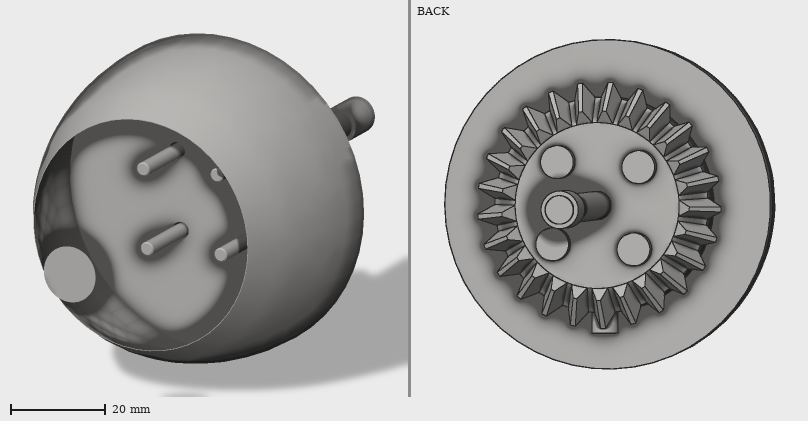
import cadquery as cq
import math

LEAN_SIDEWAYS = 8.7
LEAN_DOWN = 1.0
SPIN = -3.5

RIM_RADIUS = 70.0 / 2
MOUTH_RADIUS = 25.5
BOWL_DEPTH = 36.1
RIM_BAND = 1.0
WALL = 0.4
MOUTH_EDGE = 0.1

HUB_RADIUS = 45.7 / 2
TOOTH_COUNT = 25
TOOTH_PHASE = 5.3
ROOT_HEIGHT = 8.4
TIP_RADIUS = 26.2
TIP_HEIGHT = 11.6
CONE_APEX_HEIGHT = 35.3
INNER_SCALE = 0.77
ROOT_WIDTH = 4.7
LAND_WIDTH = 1.1
TOOTH_EMBED = 0.4
STUD_DIAMETER = 5.5
STUD_REACH = 27.3

SHAFT_DIAMETER = 6.0
HEAD_DIAMETER = 8.0
HEAD_START = 58.1
HEAD_END = 67.2
SHAFT_END = 68.0

SCREW_SPACING = 17.5
SCREW_HEAD_DIAMETER = 7.0
SCREW_HEAD_HEIGHT = 2.8
SCREW_DIAMETER = 3.0
SCREW_TIP_CHAMFER = 0.3
SCREW_REACH = 16.7
SCREW_HOLE_DIAMETER = 3.7

DISC_DIAMETER = 12.3
DISC_DISTANCE = 69.9
DISC_THICKNESS = 0.1


def place(body):
    """Turn a body from the local axis frame to its final position."""
    upright = body.rotate((0, 0, 0), (1, 0, 0), -90 - LEAN_DOWN)
    return upright.rotate((0, 0, 0), (0, 0, 1), -LEAN_SIDEWAYS)


def cylinder(diameter, start, end):
    return cq.Workplane("XY").workplane(offset=start).circle(diameter / 2).extrude(end - start)


def wall_radius(depth):
    """Outer wall radius on an arc that is tangent to the rim band and ends at the mouth."""
    run = BOWL_DEPTH - RIM_BAND
    drop = RIM_RADIUS - MOUTH_RADIUS
    arc_radius = (run**2 + drop**2) / (2 * drop)
    return RIM_RADIUS - arc_radius + math.sqrt(arc_radius**2 - (depth - RIM_BAND) ** 2)


def make_bowl():
    middle = (RIM_BAND + BOWL_DEPTH) / 2
    profile = (
        cq.Workplane("XZ")
        .moveTo(HUB_RADIUS, 0)
        .lineTo(RIM_RADIUS, 0)
        .lineTo(RIM_RADIUS, -RIM_BAND)
        .threePointArc((wall_radius(middle), -middle), (MOUTH_RADIUS, -BOWL_DEPTH))
        .lineTo(MOUTH_RADIUS - MOUTH_EDGE, -BOWL_DEPTH)
        .threePointArc((wall_radius(middle) - WALL, -middle), (RIM_RADIUS - WALL, -RIM_BAND))
        .lineTo(RIM_RADIUS - WALL, -WALL)
        .lineTo(HUB_RADIUS, -WALL)
        .close()
    )
    return profile.revolve(360, (0, 0, 0), (0, 1, 0))


def scaled_to_apex(radius, height, scale):
    return radius * scale, CONE_APEX_HEIGHT + (height - CONE_APEX_HEIGHT) * scale


def tooth_section(scale):
    """Trapezoid across a tooth, wide at its root, shrunk towards the cone apex by the given scale."""
    rise_r = TIP_RADIUS - HUB_RADIUS
    rise_z = TIP_HEIGHT - ROOT_HEIGHT
    depth = math.hypot(rise_r, rise_z)
    root_r, root_z = scaled_to_apex(HUB_RADIUS, ROOT_HEIGHT, scale)
    plane = cq.Plane(origin=(root_r, 0, root_z), xDir=(0, -1, 0), normal=(-rise_z, 0, rise_r))
    corners = [
        (-ROOT_WIDTH / 2, -TOOTH_EMBED),
        (ROOT_WIDTH / 2, -TOOTH_EMBED),
        (LAND_WIDTH / 2, depth),
        (-LAND_WIDTH / 2, depth),
    ]
    points = [plane.toWorldCoords((x * scale, y * scale)) for x, y in corners]
    return cq.Wire.makePolygon(points, close=True)


def make_tooth():
    return cq.Solid.makeLoft([tooth_section(1), tooth_section(INNER_SCALE)], True)


FACE_RADIUS, FACE_HEIGHT = scaled_to_apex(HUB_RADIUS, ROOT_HEIGHT, INNER_SCALE)


def screw_points():
    half = SCREW_SPACING / 2
    turn = math.radians(SPIN)
    return [
        (x * math.cos(turn) - y * math.sin(turn), x * math.sin(turn) + y * math.cos(turn))
        for x in (-half, half)
        for y in (-half, half)
    ]


def make_gear():
    body = (
        cq.Workplane("XZ")
        .moveTo(0, -WALL)
        .lineTo(HUB_RADIUS, -WALL)
        .lineTo(HUB_RADIUS, ROOT_HEIGHT)
        .lineTo(FACE_RADIUS, FACE_HEIGHT)
        .lineTo(0, FACE_HEIGHT)
        .close()
        .revolve(360, (0, 0, 0), (0, 1, 0))
    )
    tooth = make_tooth()
    for index in range(TOOTH_COUNT):
        angle = TOOTH_PHASE + index * 360 / TOOTH_COUNT
        body = body.union(cq.Workplane(tooth.rotate((0, 0, 0), (0, 0, 1), angle)))
    stud = (
        cq.Workplane("XZ")
        .center(0, ROOT_HEIGHT / 2)
        .circle(STUD_DIAMETER / 2)
        .extrude(-STUD_REACH)
    )
    body = body.union(stud)
    body = body.cut(cylinder(SHAFT_DIAMETER, -WALL, FACE_HEIGHT))
    screw_hole = cylinder(SCREW_HOLE_DIAMETER, -WALL, FACE_HEIGHT)
    for x, y in screw_points():
        body = body.cut(screw_hole.translate((x, y, 0)))
    return body


def make_shaft():
    return cylinder(SHAFT_DIAMETER, -WALL, SHAFT_END).union(
        cylinder(HEAD_DIAMETER, HEAD_START, HEAD_END)
    )


def make_screw(x, y):
    shank = cylinder(SCREW_DIAMETER, -SCREW_REACH, FACE_HEIGHT)
    shank = shank.faces("<Z").chamfer(SCREW_TIP_CHAMFER)
    head = cylinder(SCREW_HEAD_DIAMETER, FACE_HEIGHT, FACE_HEIGHT + SCREW_HEAD_HEIGHT)
    return shank.union(head).translate((x, y, 0))


def make_disc():
    return cylinder(DISC_DIAMETER, -DISC_DISTANCE, -DISC_DISTANCE + DISC_THICKNESS)


bowl = place(make_bowl())
gear = place(make_gear())
shaft = place(make_shaft())
screws = [place(make_screw(x, y)) for x, y in screw_points()]
disc = place(make_disc())

result = cq.Compound.makeCompound(
    [bowl.val(), gear.val(), shaft.val(), disc.val(), *[screw.val() for screw in screws]]
)